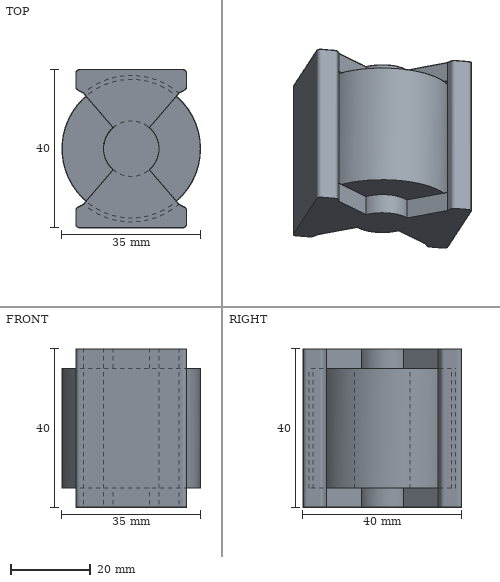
import cadquery as cq
import math

height = 40.0
core_depth = 40.0
core_width = 28.0

post_radius = 14.0 / 2
window_radius = 37.0 / 2
window_height = 30.2

flank_angle = 49.3
lip_y = 15.05
corner_radius = 1.0

winding_radius = 35.0 / 2


def point_on_flank(radius):
    angle = math.radians(flank_angle)
    return radius * math.cos(angle), radius * math.sin(angle)


def make_disc(radius, thickness):
    """Upright cylinder centred on the origin."""
    return cq.Workplane("XY", origin=(0, 0, -thickness / 2)).circle(radius).extrude(thickness)


def make_core_half():
    """One leg with its two wedge-shaped plates, which run in to the core axis."""
    half_width = core_width / 2
    half_depth = core_depth / 2
    edge_x, edge_y = point_on_flank(window_radius)
    wedge = (
        cq.Workplane("XY", origin=(0, 0, -height / 2))
        .moveTo(0, 0)
        .lineTo(edge_x, edge_y)
        .lineTo(half_width, lip_y)
        .lineTo(half_width, half_depth)
        .lineTo(-half_width, half_depth)
        .lineTo(-half_width, lip_y)
        .lineTo(-edge_x, edge_y)
        .close()
        .extrude(height)
        .edges("|Z and (<X or >X)")
        .fillet(corner_radius)
    )
    return wedge.cut(make_disc(window_radius, window_height))


def make_core():
    """Two opposite halves joined by the round post."""
    half = make_core_half()
    opposite_half = half.mirror("XZ")
    return make_disc(post_radius, height).union(half).union(opposite_half)


def make_winding():
    """Ring seated on the post, filling the height of the window and clear of the legs."""
    return make_disc(winding_radius, window_height).cut(make_disc(post_radius, window_height))


core = make_core()
winding = make_winding()

result = cq.Compound.makeCompound([core.solids().val(), winding.solids().val()])